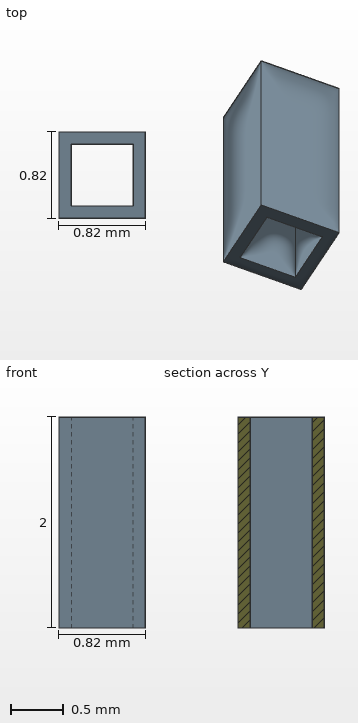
import cadquery as cq

height = 2.0
outer_side = 0.82
wall = 0.118
inner_side = outer_side - 2 * wall

result = (
    cq.Workplane("XY")
    .rect(outer_side, outer_side)
    .rect(inner_side, inner_side)
    .extrude(height)
)